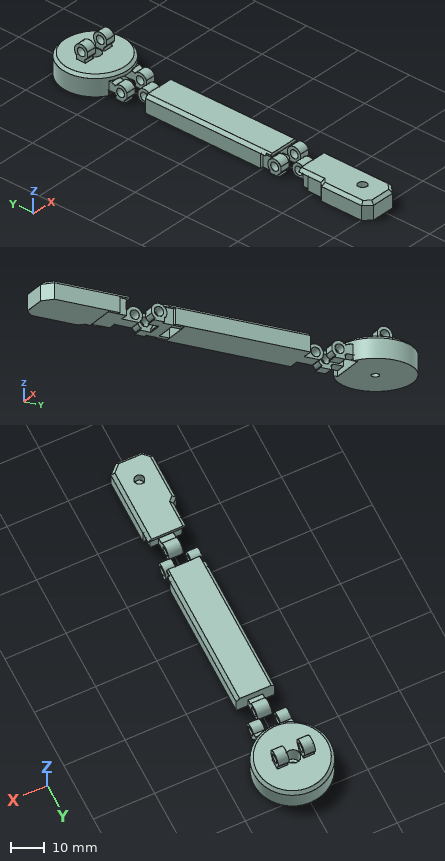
import cadquery as cq
disc_diameter = 25.0
disc_height = 7.5
disc_bevel = 1.0
screw_diameter = 2.5
screw_head_diameter = 4.5
screw_seat_height = 1.9

link_width = 12.5
link_height = 6.4
link_bevel = 1.1
roof_underside = link_height - link_bevel
total_length = 125.5
tip_end_y = disc_diameter / 2 - total_length

ring_radius = 2.6
pin_hole_diameter = 3.0
lug_axis_height = 3.0
tongue_axis_height = 2.3
fork_gap = 5.0
tongue_width = 4.8
lug_flat = 2.45
foot_back = 1.9
foot_front = 1.3
foot_flare = 0.4
tongue_neck_height = 3.4

top_axis_height = 10.8
top_lug_width = 3.5
top_fork_x = -0.3

disc_fork_y = -15.3
neck_bottom = 1.9
disc_pocket_y = -9.4
neck_slope_y = -11.8
neck_front_top = 4.5

bar_tongue_y = -21.2
bar_start_y = -25.0
bar_end_y = -73.4
bar_fork_y = -75.3
bar_wall_end_y = -69.9
bar_notch_y = -71.6
bar_notch_depth = 0.6

tip_tongue_y = -81.3
tip_start_y = -84.7
tip_insert_y = -85.6
tip_wall_start_y = -88.2
tip_shoulder_y = -93.4
tip_shoulder = 1.5
tip_corner_left = 2.5
tip_corner_right = 3.0
tip_hole_diameter = 3.1
tip_hole_x = -0.4
tip_hole_y = -104.4
tip_hole_depth = 3.1

wall_thickness = 1.0
insert_half_width = link_width / 2 - wall_thickness
insert_engagement = 3.4
insert_floor = 0.5
cheek_inner_x = 3.8
bar_socket_y = bar_wall_end_y + insert_engagement
tip_socket_y = tip_wall_start_y - insert_engagement


def box(x_min, x_max, y_min, y_max, z_min, z_max):
    """Axis-aligned block between the given limits."""
    size = (x_max - x_min, y_max - y_min, z_max - z_min)
    return cq.Workplane("XY").box(*size, centered=False).translate((x_min, y_min, z_min))


def rod(radius, x_min, x_max, y, z):
    """Cylinder parallel to X."""
    return cq.Workplane("YZ", origin=(x_min, 0, 0)).center(y, z).circle(radius).extrude(x_max - x_min)


def lug(x_min, x_max, y, z, base_z):
    """Hinge ring with a flat on its -Y side and a flared foot down to base_z."""
    ring = rod(ring_radius, x_min, x_max, y, z)
    ring = ring.intersect(
        box(x_min, x_max, y - lug_flat, y + ring_radius, z - ring_radius, z + ring_radius)
    )
    foot_top = z - (ring_radius**2 - foot_front**2) ** 0.5
    foot = (
        cq.Workplane("YZ", origin=(x_min, 0, 0))
        .polyline([
            (y + foot_back, z),
            (y + foot_back, base_z),
            (y - foot_front - foot_flare, base_z),
            (y - foot_front, foot_top),
            (y - foot_front, z),
        ])
        .close()
        .extrude(x_max - x_min)
    )
    return ring.union(foot).cut(rod(pin_hole_diameter / 2, x_min, x_max, y, z))


def fork_sides():
    """X limits of the two lugs of a fork."""
    return [(-link_width / 2, -fork_gap / 2), (fork_gap / 2, link_width / 2)]


def tongue(y, back_y):
    """Single hinge ring, cut off at the floor, with a neck reaching to back_y."""
    half = tongue_width / 2
    ring = rod(ring_radius, -half, half, y, tongue_axis_height)
    neck = box(-half, half, back_y, y, 0, tongue_neck_height)
    above_floor = box(-half, half, back_y, y + ring_radius, 0, link_height)
    hole = rod(pin_hole_diameter / 2, -half, half, y, tongue_axis_height)
    return ring.union(neck).intersect(above_floor).cut(hole)


def insert_block(y_min, y_max):
    """Block that fills the width and height of a socket."""
    return box(-insert_half_width, insert_half_width, y_min, y_max, 0, roof_underside)


def make_disc():
    disc = cq.Workplane("XY").circle(disc_diameter / 2).extrude(disc_height)
    disc = disc.faces(">Z").chamfer(disc_bevel)
    half = link_width / 2
    disc = disc.cut(box(-half, half, -disc_diameter / 2, disc_pocket_y, 0, roof_underside))
    lug_back_y = disc_fork_y + foot_back
    for x_min, x_max in fork_sides():
        neck = (
            cq.Workplane("YZ", origin=(x_min, 0, 0))
            .polyline([
                (disc_pocket_y, neck_bottom),
                (disc_pocket_y, roof_underside),
                (neck_slope_y, roof_underside),
                (lug_back_y, neck_front_top),
                (lug_back_y, neck_bottom),
            ])
            .close()
            .extrude(x_max - x_min)
        )
        disc = disc.union(neck).union(lug(x_min, x_max, disc_fork_y, lug_axis_height, 0))
    screw_hole = cq.Workplane("XY").center(top_fork_x, 0).circle(screw_diameter / 2).extrude(disc_height)
    head_recess = (
        cq.Workplane("XY", origin=(top_fork_x, 0, screw_seat_height))
        .circle(screw_head_diameter / 2)
        .extrude(disc_height)
    )
    disc = disc.cut(screw_hole).cut(head_recess)
    for side in (-1, 1):
        centre = top_fork_x + side * (fork_gap + top_lug_width) / 2
        x_min = centre - top_lug_width / 2
        disc = disc.union(lug(x_min, x_min + top_lug_width, 0, top_axis_height, disc_height))
    return disc


def make_bar():
    half = link_width / 2
    bar = box(-half, half, bar_end_y, bar_start_y, 0, link_height)
    bar = bar.faces(">Z").edges("|Y").chamfer(link_bevel)
    bar = bar.cut(box(-half, half, bar_end_y, bar_wall_end_y, 0, roof_underside))
    bar = bar.cut(insert_block(bar_end_y, bar_socket_y))
    for x_min in (-half, half - bar_notch_depth):
        bar = bar.cut(box(x_min, x_min + bar_notch_depth, bar_end_y, bar_notch_y, 0, link_height))
    return bar.union(tongue(bar_tongue_y, bar_start_y))


def make_fork_insert():
    insert = insert_block(bar_end_y, bar_socket_y)
    insert = insert.cut(
        box(-cheek_inner_x, cheek_inner_x, bar_end_y, bar_wall_end_y, insert_floor, roof_underside)
    )
    insert = insert.cut(box(-cheek_inner_x, cheek_inner_x, bar_wall_end_y, bar_socket_y, 0, roof_underside))
    for x_min, x_max in fork_sides():
        insert = insert.union(lug(x_min, x_max, bar_fork_y, lug_axis_height, 0))
    return insert


def make_tip():
    half = link_width / 2
    left = -half - tip_shoulder
    tip = (
        cq.Workplane("XY")
        .polyline([
            (-half, tip_start_y),
            (half, tip_start_y),
            (half, tip_end_y + tip_corner_right),
            (half - tip_corner_right, tip_end_y),
            (left + tip_corner_left, tip_end_y),
            (left, tip_end_y + tip_corner_left),
            (left, tip_shoulder_y - tip_shoulder),
            (-half, tip_shoulder_y),
        ])
        .close()
        .extrude(link_height)
    )
    tip = tip.faces(">Z").edges("not >Y").chamfer(link_bevel)
    tip = tip.cut(box(-half, half, tip_wall_start_y, tip_start_y, 0, roof_underside))
    tip = tip.cut(insert_block(tip_socket_y, tip_start_y))
    hole = (
        cq.Workplane("XY", origin=(tip_hole_x, tip_hole_y, link_height - tip_hole_depth))
        .circle(tip_hole_diameter / 2)
        .extrude(tip_hole_depth)
    )
    return tip.cut(hole)


def make_tongue_insert():
    return insert_block(tip_socket_y, tip_insert_y).union(tongue(tip_tongue_y, tip_insert_y))


disc = make_disc()
bar = make_bar()
fork_insert = make_fork_insert()
tip = make_tip()
tongue_insert = make_tongue_insert()

result = cq.Compound.makeCompound([
    disc.val(),
    bar.val(),
    fork_insert.val(),
    tip.val(),
    tongue_insert.val(),
])